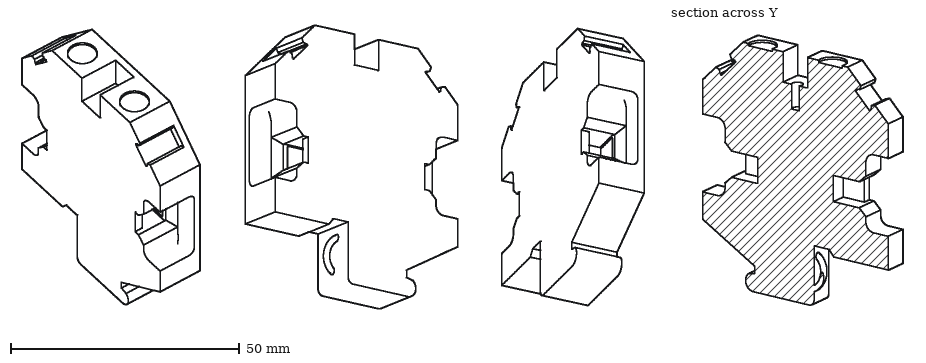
import cadquery as cq
import math

WIDTH = 50.0
THICKNESS = 11.0
HEIGHT = 57.5
MID_X = WIDTH / 2
SHOULDER = 10.9

LEFT_EDGE_Z = 12.55
STEP_START_X = 14.7
STEP_END_X = 16.0
UNDERSIDE_Z = 14.05
FOOT_LEFT_X = 19.95
FOOT_CORNER_RADIUS = 1.45
HOOK_X = 36.05
HOOK_TOP_Z = 6.05
HOOK_BOTTOM_Z = 4.3
TOE_RADIUS = 2.25
TOE_CENTER_X = 36.3
TOE_START_ANGLE = math.radians(50)

FEATURE_Y = 4.8
SCREW_DIAMETER = 6.5
SCREW_OFFSET = 9.45
SCREW_DEPTH = 0.5
NOTCH_WIDTH = 6.55
NOTCH_DEPTH = 7.1
NOTCH_BACK_Y = 9.25
TEST_HOLE_DIAMETER = 2.5
TEST_HOLE_DEPTH = 5.75

MARKER_MOUTH = 5.3
MARKER_NECK = 4.35
MARKER_FLOOR = 5.4
MARKER_NECK_DEPTH = 0.9
MARKER_UNDERCUT_DEPTH = 1.7
MARKER_DEPTH = 2.1

ENTRY_DEPTH = 6.0
ENTRY_BACK_Y = 9.4
ENTRY_BOTTOM_Z = 20.45
ENTRY_TOP_Z = 38.45
ENTRY_INNER_RADIUS = 2.0
ENTRY_BACK_RADIUS = 1.55
FUNNEL_MID_Z = 28.45
FUNNEL_MOUTH_HEIGHT = 9.45
FUNNEL_LENGTH = 1.85
CLAMP_HEIGHT = 6.0
FUNNEL_BACK_Y = ENTRY_BACK_Y - FUNNEL_LENGTH
CLAMP_STEP = 0.1
CLAMP_BACK_Y = FUNNEL_BACK_Y - CLAMP_STEP
CLAMP_FRONT_Y = 1.9
CLAMP_CORNER = 0.25
CLAMP_DEPTH = 6.9
FRONT_GAP_CORNER = 0.5
FRONT_GAP_LENGTH = 1.2

RING_RADIUS = 4.3
RING_WIRE_RADIUS = 0.7
RING_X = 22.15
RING_Y = 4.95
RING_Z = 7.75
RING_TILT = 12.0


def box(x0, x1, y0, y1, z0, z1):
    return cq.Workplane("XY").box(x1 - x0, y1 - y0, z1 - z0, centered=False).translate((x0, y0, z0))


def mirrored(shape):
    """Copy of a shape on the other side of the housing's middle plane."""
    return shape.mirror("YZ", (MID_X, 0, 0))


def make_housing():
    toe_start = (
        TOE_CENTER_X + TOE_RADIUS * math.cos(TOE_START_ANGLE),
        TOE_RADIUS + TOE_RADIUS * math.sin(TOE_START_ANGLE),
    )
    return (
        cq.Workplane("XZ")
        .moveTo(0, LEFT_EDGE_Z)
        .lineTo(0, HEIGHT - SHOULDER)
        .lineTo(SHOULDER, HEIGHT)
        .lineTo(WIDTH - SHOULDER, HEIGHT)
        .lineTo(WIDTH, HEIGHT - SHOULDER)
        .lineTo(WIDTH, UNDERSIDE_Z)
        .lineTo(HOOK_X, HOOK_TOP_Z)
        .lineTo(HOOK_X, HOOK_BOTTOM_Z)
        .lineTo(*toe_start)
        .threePointArc((TOE_CENTER_X + TOE_RADIUS, TOE_RADIUS), (TOE_CENTER_X, 0))
        .lineTo(FOOT_LEFT_X + FOOT_CORNER_RADIUS, 0)
        .radiusArc((FOOT_LEFT_X, FOOT_CORNER_RADIUS), FOOT_CORNER_RADIUS)
        .lineTo(FOOT_LEFT_X, UNDERSIDE_Z)
        .lineTo(STEP_END_X, UNDERSIDE_Z)
        .lineTo(STEP_START_X, LEFT_EDGE_Z)
        .close()
        .extrude(-THICKNESS)
    )


def make_top_cuts():
    half_notch = NOTCH_WIDTH / 2
    notch_floor = HEIGHT - NOTCH_DEPTH
    notch = box(MID_X - half_notch, MID_X + half_notch, 0, NOTCH_BACK_Y, notch_floor, HEIGHT)
    test_hole = (
        cq.Workplane("XY", origin=(MID_X, FEATURE_Y, notch_floor))
        .circle(TEST_HOLE_DIAMETER / 2)
        .extrude(-TEST_HOLE_DEPTH)
    )
    screws = (
        cq.Workplane("XY", origin=(MID_X, FEATURE_Y, HEIGHT))
        .pushPoints([(-SCREW_OFFSET, 0), (SCREW_OFFSET, 0)])
        .circle(SCREW_DIAMETER / 2)
        .extrude(-SCREW_DEPTH)
    )
    return notch.union(test_hole).union(screws)


def make_marker_slot():
    """Slot with ridged side walls, centred on the left shoulder."""
    return (
        cq.Workplane("XZ")
        .moveTo(-MARKER_MOUTH / 2, 0)
        .lineTo(-MARKER_NECK / 2, -MARKER_NECK_DEPTH)
        .lineTo(-MARKER_FLOOR / 2, -MARKER_UNDERCUT_DEPTH)
        .lineTo(-MARKER_FLOOR / 2, -MARKER_DEPTH)
        .lineTo(MARKER_FLOOR / 2, -MARKER_DEPTH)
        .lineTo(MARKER_FLOOR / 2, -MARKER_UNDERCUT_DEPTH)
        .lineTo(MARKER_NECK / 2, -MARKER_NECK_DEPTH)
        .lineTo(MARKER_MOUTH / 2, 0)
        .close()
        .extrude(-NOTCH_BACK_Y)
        .rotate((0, 0, 0), (0, 1, 0), -45)
        .translate((SHOULDER / 2, 0, HEIGHT - SHOULDER / 2))
    )


def make_wire_entry():
    """Left wire entry: rounded pocket, funnel and clamp hole."""
    pocket_size = (0, ENTRY_DEPTH, 0, ENTRY_BACK_Y, ENTRY_BOTTOM_Z, ENTRY_TOP_Z)
    inner_rounded = box(*pocket_size).edges(">X and |Y").fillet(ENTRY_INNER_RADIUS)
    back_rounded = box(*pocket_size).edges(">Y and |X").fillet(ENTRY_BACK_RADIUS)
    pocket = inner_rounded.intersect(back_rounded)

    funnel = (
        cq.Workplane("YZ", origin=(ENTRY_DEPTH, 0, FUNNEL_MID_Z))
        .rect(2 * ENTRY_BACK_Y, FUNNEL_MOUTH_HEIGHT)
        .workplane(offset=FUNNEL_LENGTH)
        .rect(2 * FUNNEL_BACK_Y, CLAMP_HEIGHT)
        .loft(ruled=True)
    )
    funnel = funnel.intersect(box(0, MID_X, 0, THICKNESS, 0, HEIGHT))

    clamp_start = ENTRY_DEPTH + FUNNEL_LENGTH
    clamp_bottom = FUNNEL_MID_Z - CLAMP_HEIGHT / 2
    clamp_top = FUNNEL_MID_Z + CLAMP_HEIGHT / 2
    clamp_hole = box(
        clamp_start, clamp_start + CLAMP_DEPTH, CLAMP_FRONT_Y, CLAMP_BACK_Y, clamp_bottom, clamp_top
    )
    clamp_hole = clamp_hole.edges(">Y and |X").chamfer(CLAMP_CORNER)
    front_gap = box(
        clamp_start, clamp_start + FRONT_GAP_LENGTH, 0, FUNNEL_BACK_Y, clamp_bottom, clamp_top
    )
    front_gap = front_gap.edges(">Y and |X").fillet(FRONT_GAP_CORNER)
    return pocket.union(funnel).union(clamp_hole).union(front_gap)


def make_spring_ring():
    ring = cq.Solid.makeTorus(
        RING_RADIUS, RING_WIRE_RADIUS, cq.Vector(RING_X, RING_Y, RING_Z), cq.Vector(0, 1, 0)
    )
    center = cq.Vector(RING_X, RING_Y, RING_Z)
    return cq.Workplane(ring.rotate(center, center + cq.Vector(0.6, 0, 0), RING_TILT))


result = make_housing().cut(make_top_cuts())
for side_cut in (make_marker_slot(), make_wire_entry()):
    result = result.cut(side_cut).cut(mirrored(side_cut))
result = result.union(make_spring_ring())